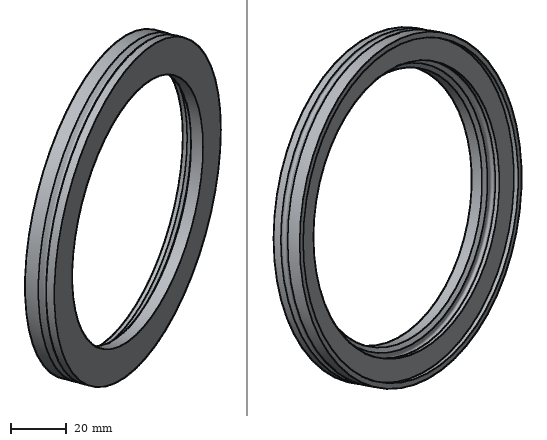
import cadquery as cq
import math

width = 12.0
outer_radius = 65.0

rim_radius = 62.9
face_x = 2.0
counterbore_radius = 54.3
shoulder_x = 6.1
shoulder_inner_radius = 52.8
bore_radius = 51.0
bore_chamfer_length = 1.0

undercut_slope = math.radians(30)
groove_start_x = 5.5
groove_end_x = 8.6
corner_undercut_start_x = 3.8


def undercut_points(start_x, end_x, surface_radius, direction):
    """Return the start, middle and end of an undercut's arc.

    The undercut slopes away from the surface, then blends tangentially into an arc that
    comes back to the surface square to it. Direction is 1 for outwards, -1 for inwards.
    """
    slope_sine = math.sin(undercut_slope)
    slope_cosine = math.cos(undercut_slope)
    arc_radius = (end_x - start_x) * slope_sine / (1 + slope_sine)
    centre_x = end_x - arc_radius
    tangent = (centre_x - arc_radius * slope_sine, surface_radius + direction * arc_radius * slope_cosine)
    middle = (centre_x, surface_radius + direction * arc_radius)
    end = (end_x, surface_radius)
    return tangent, middle, end


groove_tangent, groove_middle, groove_end = undercut_points(
    groove_start_x, groove_end_x, outer_radius, -1
)
corner_tangent, corner_middle, corner_end = undercut_points(
    corner_undercut_start_x, shoulder_x, counterbore_radius, 1
)

section = (
    cq.Workplane("XY")
    .moveTo(0, rim_radius)
    .lineTo(0, outer_radius)
    .lineTo(groove_start_x, outer_radius)
    .lineTo(*groove_tangent)
    .threePointArc(groove_middle, groove_end)
    .lineTo(width, outer_radius)
    .lineTo(width, bore_radius)
    .lineTo(shoulder_x + bore_chamfer_length, bore_radius)
    .lineTo(shoulder_x, shoulder_inner_radius)
    .lineTo(*corner_end)
    .threePointArc(corner_middle, corner_tangent)
    .lineTo(corner_undercut_start_x, counterbore_radius)
    .lineTo(face_x, counterbore_radius)
    .lineTo(face_x, rim_radius)
    .close()
)

result = section.revolve(360, (0, 0, 0), (1, 0, 0))